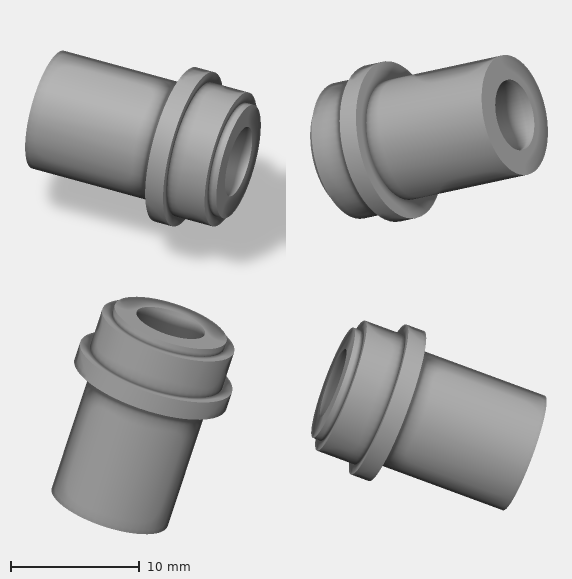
import cadquery as cq

total_length = 16.0
tube_length = 10.69
flange_thickness = 1.5
end_step_length = 0.65
collar_length = total_length - tube_length - flange_thickness - end_step_length

tube_diameter = 9.5
flange_diameter = 12.45
collar_diameter = 10.8
end_step_diameter = 9.15
bore_diameter = 5.6

sections = [
    (tube_length, tube_diameter),
    (flange_thickness, flange_diameter),
    (collar_length, collar_diameter),
    (end_step_length, end_step_diameter),
]

start_x = -total_length / 2
body = cq.Workplane("YZ")
for length, diameter in sections:
    section = cq.Workplane("YZ", origin=(start_x, 0, 0)).circle(diameter / 2).extrude(length)
    body = body.union(section)
    start_x += length

result = body.faces(">X").workplane().circle(bore_diameter / 2).cutThruAll()